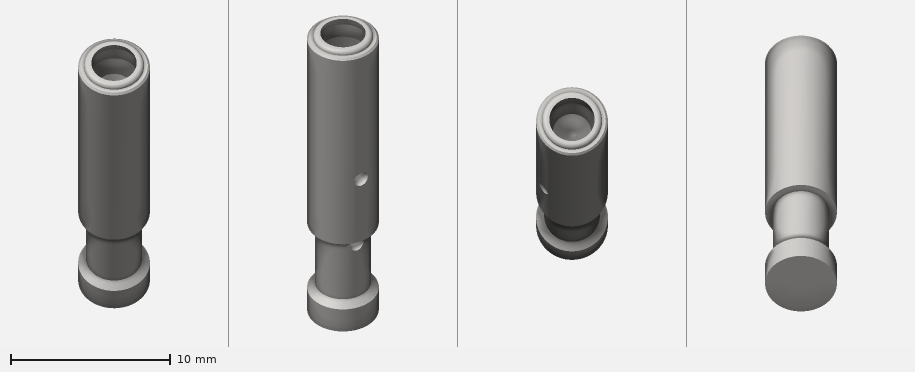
import cadquery as cq

length = 22.2
body_radius = 2.253

foot_height = 1.78
neck_radius = 1.75
foot_chamfer_height = 0.42
foot_top = foot_height + foot_chamfer_height
neck_top = 7.02

lip_height = 0.29
lip_radius = 1.89
shoulder_z = length - lip_height
shoulder_chamfer = 0.13

mouth_radius = 1.42
chamber_radius = 1.58
floor_radius = 1.2
undercut_depth = 0.55
chamber_depth = 1.55
funnel_depth = 2.66
cone_depth = 0.69

cross_hole_diameter = 1.0
cross_hole_heights = (6.44, 11.99)


def make_pin():
    """Revolve the outside of the pin."""
    lip_corner = lip_height * 0.5 ** 0.5
    profile = (
        cq.Workplane("XZ")
        .lineTo(body_radius, 0)
        .lineTo(body_radius, foot_height)
        .lineTo(neck_radius, foot_top)
        .lineTo(neck_radius, neck_top)
        .lineTo(body_radius, neck_top)
        .lineTo(body_radius, shoulder_z - shoulder_chamfer)
        .lineTo(body_radius - shoulder_chamfer, shoulder_z)
        .lineTo(lip_radius, shoulder_z)
        .threePointArc(
            (lip_radius - lip_height + lip_corner, shoulder_z + lip_corner),
            (lip_radius - lip_height, length),
        )
        .lineTo(0, length)
        .close()
    )
    return profile.revolve(360, (0, 0, 0), (0, 1, 0))


def make_socket():
    """Revolve the cavity that opens at the top of the pin."""
    profile = (
        cq.Workplane("XZ")
        .moveTo(0, length)
        .lineTo(mouth_radius, length)
        .lineTo(chamber_radius, length - undercut_depth)
        .lineTo(chamber_radius, length - chamber_depth)
        .lineTo(floor_radius, length - funnel_depth)
        .lineTo(0, length - funnel_depth - cone_depth)
        .close()
    )
    return profile.revolve(360, (0, 0, 0), (0, 1, 0))


def make_cross_hole(height):
    """Radial drill running from the axis out through the +Y wall."""
    return (
        cq.Workplane("XZ", origin=(0, 0, height))
        .circle(cross_hole_diameter / 2)
        .extrude(-2 * body_radius)
    )


result = make_pin().cut(make_socket())
for hole_height in cross_hole_heights:
    result = result.cut(make_cross_hole(hole_height))